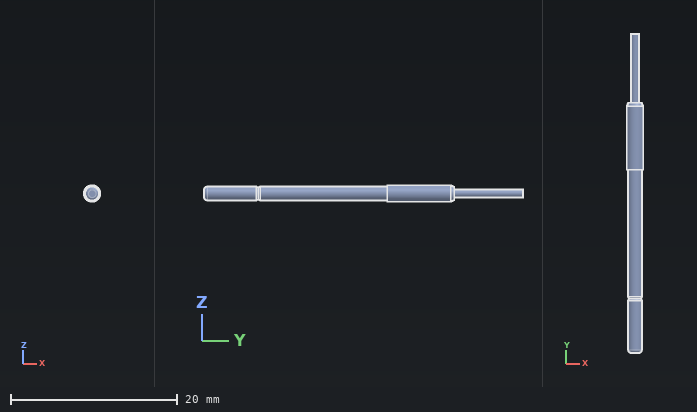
import cadquery as cq

barrel_radius = 0.85
collar_radius = 1.0
wire_radius = 0.5

overall_length = 38.3
tip_y = -overall_length / 2
wire_end_y = overall_length / 2
collar_start_y = tip_y + 22.0
collar_end_y = tip_y + 30.05

tip_fillet = 0.4
collar_taper_length = 0.42
collar_taper_depth = 0.2
groove_center_y = tip_y + 6.5
groove_width = 0.45
groove_depth = 0.1


def cylinder(radius, start_y, end_y):
    """Solid cylinder on the Y axis between two stations."""
    return (
        cq.Workplane("XZ", origin=(0, start_y, 0))
        .circle(radius)
        .extrude(start_y - end_y)
    )


def v_groove():
    """Ring with a triangular section that cuts the groove around the barrel."""
    section = [
        (barrel_radius, groove_center_y - groove_width / 2),
        (barrel_radius - groove_depth, groove_center_y),
        (barrel_radius, groove_center_y + groove_width / 2),
    ]
    return cq.Workplane("XY").polyline(section).close().revolve(360, (0, 0, 0), (0, 1, 0))


barrel = cylinder(barrel_radius, tip_y, collar_start_y)
barrel = barrel.faces("<Y").edges().fillet(tip_fillet)
barrel = barrel.cut(v_groove())

collar = cylinder(collar_radius, collar_start_y, collar_end_y)
collar = collar.faces(">Y").edges().chamfer(collar_taper_length, collar_taper_depth)
wire = cylinder(wire_radius, collar_end_y, wire_end_y)

result = barrel.union(collar).union(wire)